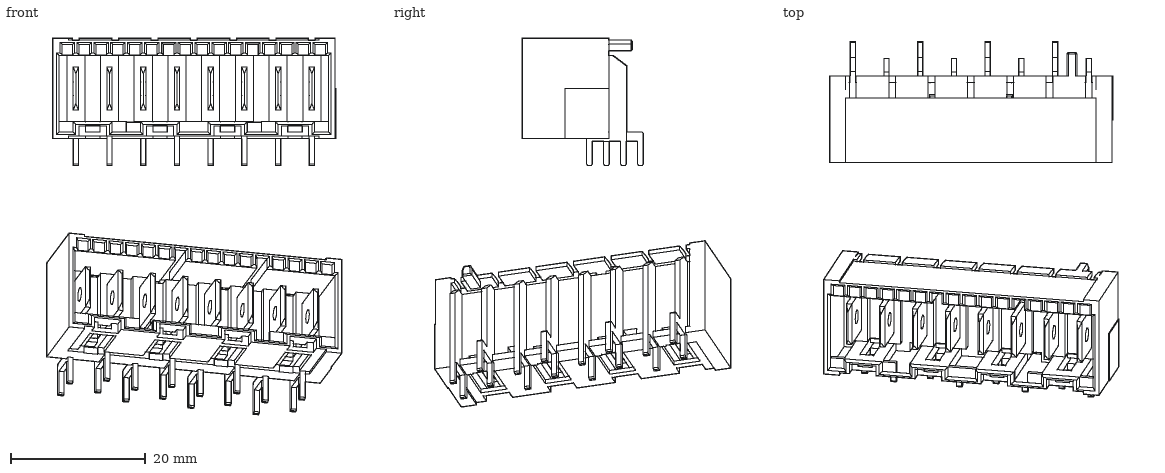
import cadquery as cq
body_x = 41.87
body_y = 12.85
body_z = 14.9
middle_x = body_x / 2

pin_count = 8
pin_pitch = 5.0
pin_width = 0.8
first_pin_x = middle_x - (pin_count - 1) / 2 * pin_pitch
pin_xs = [first_pin_x + i * pin_pitch for i in range(pin_count)]

end_block = 2.4
top_step = 0.3
under_step = 0.38
panel_back = 9.58
roof_bottom = 14.0

side_wall = 0.95
floor_low = 1.0
floor_high = 2.5
ceiling = 12.35
mouth_chamfer = 0.38
cavity_back = panel_back
sill_back = 1.05
raised_half = 2.9
raised_xs = [(pin_xs[i] + pin_xs[i + 1]) / 2 for i in range(0, pin_count, 2)]

keyway_width = 2.05
keyway_centre_offset = middle_x - (pin_xs[1] + pin_xs[2] + keyway_width) / 2
keyway_top = 2.45

arch_half = 2.0
arch_top = 1.9
arch_depth = 1.7
well_half = 1.05
well_front = 2.8
well_back = 9.83

rib_width = 2.7
rib_front = 8.4
rib_gap = pin_pitch - rib_width
notch_back = 10.1

window_count = 2 * pin_count
window_pitch = pin_pitch / 2
window_width = 1.55
window_chamfer = 0.3
open_windows = (6, 11)

rear_recess = 1.0
slot_count = 7
slot_width = 1.0
slot_pitch = (pin_count - 1) * pin_pitch / (slot_count - 1)
tab_slope_y = 10.85
tab_slope_drop = 0.25

pad_thickness = 0.13
pad_y = 6.5
pad_z = 7.48

peg_x = raised_xs[-1]
peg_bottom = 13.0
peg_height = 1.65
peg_width = 1.5
peg_top_width = 1.0
peg_side = 1.0
peg_length = 3.5
peg_tip_chamfer = 0.2

blade_tip = 1.1
blade_bevel = 0.95
blade_bottom = 4.25
blade_height = 6.4
blade_hole = 2.0
blade_hole_y = 5.35
plate_overhang = 2.75
plate_bevel_y = 2.05
plate_bevel_z = 1.55
foot_top = 1.0
foot_bottom = -0.38
leg_bottom = -4.0
leg_width = 0.9
leg_tip_chamfer = 0.2
foot_corner_chamfer = 0.2
leg_pitch = 5.05
long_reach = 5.12
short_reach = 2.6


def box(x0, x1, y0, y1, z0, z1):
    """Box between two opposite corners."""
    return cq.Workplane("XY").box(x1 - x0, y1 - y0, z1 - z0, centered=False).translate((x0, y0, z0))


def flare(x0, x1, z0, z1, depth, growth):
    """Block from the given depth to the front face, each side moving out by growth on the way."""
    inner = cq.Workplane("XZ", origin=((x0 + x1) / 2, depth, (z0 + z1) / 2)).rect(x1 - x0, z1 - z0)
    outer = inner.workplane(offset=depth).rect(x1 - x0 + 2 * growth, z1 - z0 + 2 * growth)
    return outer.loft(ruled=True)


def make_mouth():
    """Chamfered mouth of the cavity, its lower edge stepping over each raised floor."""
    mouth = flare(side_wall, body_x - side_wall, floor_low, ceiling, mouth_chamfer, mouth_chamfer)
    for x in raised_xs:
        left, right = x - raised_half, x + raised_half
        mouth = mouth.cut(flare(left, right, 0, floor_high, mouth_chamfer, -mouth_chamfer))
    return mouth


def make_shell():
    """Outer block with its stepped faces, open rear and slotted rear tabs."""
    shell = box(0, body_x, 0, body_y, 0, body_z)
    inner_end = body_x - end_block
    shell = shell.cut(box(end_block, inner_end, 0, panel_back, body_z - top_step, body_z))
    shell = shell.cut(box(end_block, inner_end, 0, panel_back, 0, under_step))
    slope = [(tab_slope_y, body_z), (body_y, body_z), (body_y, body_z - tab_slope_drop)]
    sloped_cut = cq.Workplane("YZ", origin=(end_block, 0, 0)).polyline(slope).close()
    shell = shell.cut(sloped_cut.extrude(inner_end - end_block))
    shell = shell.cut(box(end_block, inner_end, body_y - rear_recess, body_y, floor_low, roof_bottom))
    shell = shell.cut(box(end_block, inner_end, panel_back, body_y, ceiling, roof_bottom))
    for i in range(slot_count):
        x = middle_x + (i - (slot_count - 1) / 2) * slot_pitch
        shell = shell.cut(box(x - slot_width / 2, x + slot_width / 2, panel_back, body_y, ceiling, body_z))
    return shell


def cut_cavity(shell):
    """Main cavity, the trenches between the raised floors and the two keyways."""
    shell = shell.cut(make_mouth())
    shell = shell.cut(box(side_wall, body_x - side_wall, mouth_chamfer, cavity_back, floor_high, ceiling))
    trench = box(side_wall, body_x - side_wall, sill_back, cavity_back, floor_low, floor_high)
    for x in raised_xs:
        trench = trench.cut(box(x - raised_half, x + raised_half, 0, body_y, 0, floor_high))
    shell = shell.cut(trench)
    for x in (middle_x - keyway_centre_offset, middle_x + keyway_centre_offset):
        left, right = x - keyway_width / 2, x + keyway_width / 2
        shell = shell.cut(box(left, right, mouth_chamfer, cavity_back, floor_low, floor_high))
        shell = shell.cut(box(left, right, mouth_chamfer, body_y, floor_low, keyway_top))
    return shell


def cut_floor_openings(shell):
    """Arch, well and passage under each raised floor, and the wall notch above it."""
    for x in raised_xs:
        shell = shell.cut(box(x - arch_half, x + arch_half, 0, arch_depth, 0, arch_top))
        shell = shell.cut(box(x - arch_half, x + arch_half, well_front, cavity_back, 0, floor_low))
        shell = shell.cut(box(x - well_half, x + well_half, well_front, well_back, 0, floor_high))
        shell = shell.cut(box(x - rib_gap / 2, x + rib_gap / 2, rib_front, notch_back, floor_high, ceiling))
        shell = shell.cut(box(x - well_half, x + well_half, 0, body_y, floor_low, arch_top))
    return shell


def cut_windows(shell):
    """Row of chamfered windows above the cavity."""
    for i in range(window_count):
        x = middle_x + (i - (window_count - 1) / 2) * window_pitch
        left, right = x - window_width / 2, x + window_width / 2
        shell = shell.cut(flare(left, right, ceiling, roof_bottom, window_chamfer, window_chamfer))
        if i in open_windows:
            shell = shell.cut(box(left, right, 0, panel_back, ceiling, roof_bottom))
    return shell


def make_rib(x):
    """Upright on the cavity wall around the root of a blade."""
    return box(x - rib_width / 2, x + rib_width / 2, rib_front, cavity_back, floor_high, ceiling)


def make_peg():
    """Bevelled peg on the rear."""
    outline = [
        (-peg_width / 2, 0),
        (peg_width / 2, 0),
        (peg_width / 2, peg_side),
        (peg_top_width / 2, peg_height),
        (-peg_top_width / 2, peg_height),
        (-peg_width / 2, peg_side),
    ]
    root = cq.Workplane("XZ", origin=(peg_x, body_y - rear_recess, peg_bottom))
    peg = root.polyline(outline).close().extrude(-rear_recess - peg_length)
    return peg.faces(">Y").chamfer(peg_tip_chamfer)


def make_blade(x):
    """Flat blade with a four-sided wedge tip and a cross hole."""
    shoulder = blade_tip + blade_bevel
    blade_top = blade_bottom + blade_height
    plan = [
        (x, blade_tip),
        (x + pin_width / 2, shoulder),
        (x + pin_width / 2, cavity_back),
        (x - pin_width / 2, cavity_back),
        (x - pin_width / 2, shoulder),
    ]
    side = [
        (blade_tip, blade_bottom + blade_bevel),
        (shoulder, blade_bottom),
        (cavity_back, blade_bottom),
        (cavity_back, blade_top),
        (shoulder, blade_top),
        (blade_tip, blade_top - blade_bevel),
    ]
    blade = cq.Workplane("XY").workplane(offset=blade_bottom).polyline(plan).close().extrude(blade_height)
    blade = blade.intersect(pin_plane(x).polyline(side).close().extrude(pin_width))
    hole_z = blade_bottom + blade_height / 2
    return blade.cut(pin_plane(x).center(blade_hole_y, hole_z).circle(blade_hole / 2).extrude(pin_width))


def pin_plane(x):
    """Y-Z plane on the left face of the contact at x."""
    return cq.Workplane("YZ", origin=(x - pin_width / 2, 0, 0))


def make_leg(x, back_y):
    """Solder leg with a chamfered tip."""
    leg = box(x - pin_width / 2, x + pin_width / 2, back_y - leg_width, back_y, leg_bottom, foot_top)
    return leg.faces("<Z").edges("|X").chamfer(leg_tip_chamfer)


def make_tail(x, reach):
    """Rear plate with a bevelled top, and a foot with two solder legs."""
    back = body_y + reach
    plate_back = body_y + min(plate_overhang, reach)
    front_leg_back = back - leg_pitch
    plate = [
        (body_y - rear_recess, 0),
        (plate_back, 0),
        (plate_back, ceiling - plate_bevel_z),
        (plate_back - plate_bevel_y, ceiling),
        (body_y - rear_recess, ceiling),
    ]
    left, right = x - pin_width / 2, x + pin_width / 2
    tail = pin_plane(x).polyline(plate).close().extrude(pin_width)
    tail = tail.union(box(left, right, front_leg_back - leg_width, back - leg_width, foot_bottom, foot_top))
    rear_leg = make_leg(x, back)
    if reach > plate_overhang:
        rear_leg = rear_leg.faces(">Z").edges(">Y").chamfer(foot_corner_chamfer)
    return tail.union(rear_leg).union(make_leg(x, front_leg_back))


shell = cut_windows(cut_floor_openings(cut_cavity(make_shell())))
pad = box(body_x, body_x + pad_thickness, body_y - pad_y, body_y, 0, pad_z)
result = shell.union(pad).union(make_peg())
for i, x in enumerate(pin_xs):
    reach = short_reach if i % 2 else long_reach
    result = result.union(make_rib(x)).union(make_blade(x)).union(make_tail(x, reach))